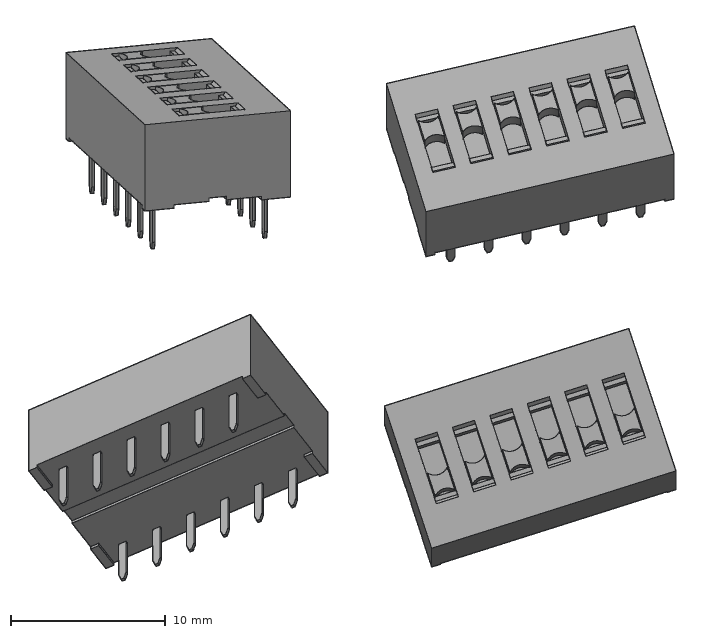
import cadquery as cq

body_length = 16.6
body_width = 9.9
body_height = 5.85
total_height = 9.05

foot_length = 0.61
foot_width = 1.98
foot_height = 0.23
channel_width = 1.2
channel_depth = 0.23

position_count = 6
pitch = 2.54
row_spacing = 7.62
pin_width = 0.56
pin_thickness = 0.2
pin_tip_width = 0.23
pin_tip_length = 0.5

window_width = 1.5
window_length = 4.48
ledge_depth = 0.2
slope_run = 0.2
recess_length = 3.49
recess_depth = 0.9

actuator_width = 1.33
actuator_length = 1.6
actuator_hollow = 0.3

position_xs = [(i - (position_count - 1) / 2) * pitch for i in range(position_count)]


def block(x_size, y_size, z_low, z_high):
    """Box centred on the Z axis between two heights."""
    return cq.Workplane("XY").workplane(offset=z_low).rect(x_size, y_size).extrude(z_high - z_low)


def make_housing():
    """Plain housing cut away underneath, which leaves the four corner feet."""
    housing = block(body_length, body_width, 0, body_height)
    lengthwise_gap = block(body_length - 2 * foot_length, body_width, 0, foot_height)
    crosswise_gap = block(body_length, body_width - 2 * foot_width, 0, foot_height)
    channel = block(body_length, channel_width, 0, foot_height + channel_depth)
    return housing.cut(lengthwise_gap).cut(crosswise_gap).cut(channel)


def make_window():
    """Window opening: sloped end walls down to a ledge, then a deeper recess."""
    half_top = window_length / 2
    half_ledge = half_top - slope_run
    half_recess = recess_length / 2
    ledge_z = body_height - ledge_depth
    floor_z = body_height - recess_depth
    profile = [
        (-half_top, body_height),
        (-half_ledge, ledge_z),
        (-half_recess, ledge_z),
        (-half_recess, floor_z),
        (half_recess, floor_z),
        (half_recess, ledge_z),
        (half_ledge, ledge_z),
        (half_top, body_height),
    ]
    return cq.Workplane("YZ").polyline(profile).close().extrude(window_width / 2, both=True)


def make_actuator():
    """Upright slider, flush with the top face, with both end faces hollowed by arcs."""
    half_width = actuator_width / 2
    y_low = -recess_length / 2
    y_high = y_low + actuator_length
    floor_z = body_height - recess_depth
    return (
        cq.Workplane("XY")
        .workplane(offset=floor_z)
        .moveTo(-half_width, y_low)
        .threePointArc((0, y_low + actuator_hollow), (half_width, y_low))
        .lineTo(half_width, y_high)
        .threePointArc((0, y_high - actuator_hollow), (-half_width, y_high))
        .close()
        .extrude(recess_depth)
    )


def make_pin():
    """Flat pin with a tapered tip, rooted on the underside of the housing."""
    half_width = pin_width / 2
    half_tip = pin_tip_width / 2
    tip_z = body_height - total_height
    shoulder_z = tip_z + pin_tip_length
    profile = [
        (-half_width, foot_height),
        (-half_width, shoulder_z),
        (-half_tip, tip_z),
        (half_tip, tip_z),
        (half_width, shoulder_z),
        (half_width, foot_height),
    ]
    return cq.Workplane("XZ").polyline(profile).close().extrude(pin_thickness / 2, both=True)


window = make_window()
actuator = make_actuator()
pin = make_pin()

result = make_housing()
for x in position_xs:
    result = result.cut(window.translate((x, 0, 0)))
    result = result.union(actuator.translate((x, 0, 0)))
    for y in (-row_spacing / 2, row_spacing / 2):
        result = result.union(pin.translate((x, y, 0)))